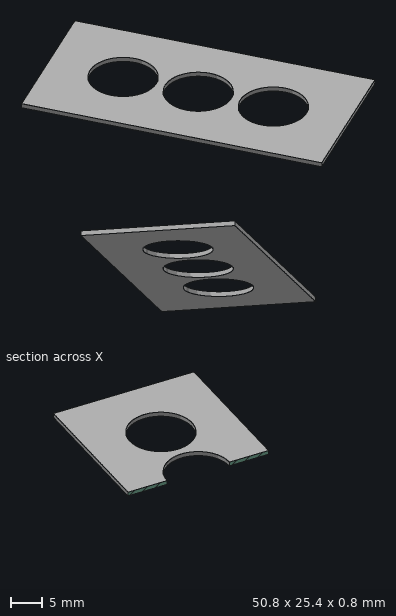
import cadquery as cq

plate_length = 50.8
plate_width = plate_length / 2
plate_thickness = 0.8
hole_diameter = 11.2
hole_spacing = plate_length / 4
hole_count = 3

plate = cq.Workplane("XY").box(plate_length, plate_width, plate_thickness)

result = (
    plate.faces(">Z")
    .workplane()
    .rarray(hole_spacing, plate_width, hole_count, 1)
    .hole(hole_diameter)
)